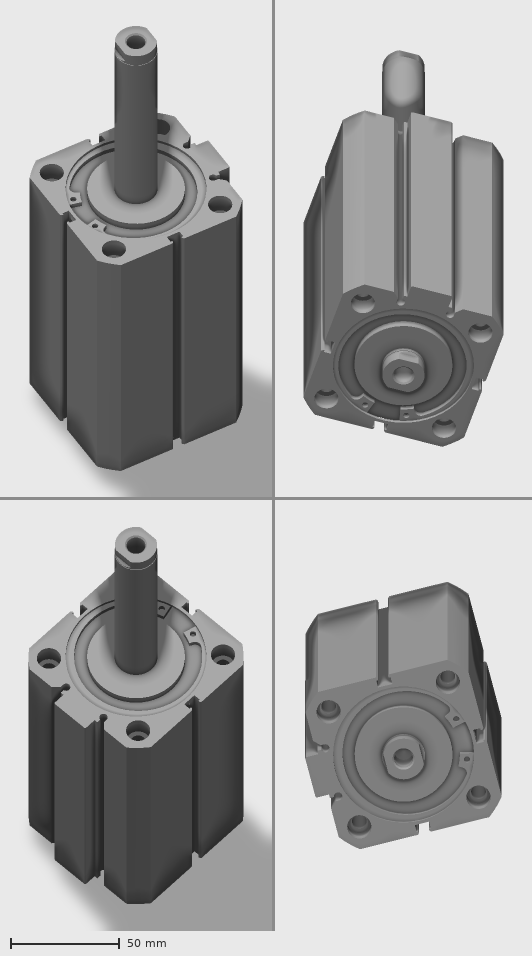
import cadquery as cq
import math

TOTAL_LENGTH = 242.0
HOUSING_LENGTH = 136.5
ROD_LOWER_REACH = 7.7

HALF_WIDTH = 38.7
CORNER_LEG = 8.0
CORNER_RADIUS = math.hypot(HALF_WIDTH, HALF_WIDTH - CORNER_LEG)
TAB_TOP = 44.3
TAB_HALF_WIDTH = 10.0
TAB_BEVEL = 0.5
RIB_HALF_WIDTH = 11.5
RIB_TOP = 38.0
RIB_BOTTOM = 35.8
RIB_RUNOUT = 1.5
RELIEF_RADIUS = 2.0
RELIEF_CENTER_Y = 34.1
RELIEF_BEVEL = 3.0

SLOT_HALF_WIDTH = 3.5
SLOT_MOUTH_HALF_WIDTH = 2.5
SLOT_LIP = 1.5
SLOT_LIP_BEVEL = 0.7
FRONT_WINDOW_HALF_WIDTH = 1.5
SIDE_WINDOW_HALF_WIDTH = 0.5

HOLE_OFFSET = 28.3
HOLE_RADIUS = 3.5
COUNTERBORE_RADIUS = 5.5
COUNTERBORE_DEPTH = 9.7

BORE_RADIUS = 32.5
RING_RADIUS = 34.0
RING_RECESS = 1.5
RING_THICKNESS = 2.5
RING_EYE_RADIUS = 29.5
RING_EYE_SHIFT = 1.5
LUG_INNER_RADIUS = 26.0
LUG_START_ANGLE = 14.0
LUG_END_ANGLE = 28.0
LUG_FILLET = 3.0
PLIER_HOLE_RADIUS = 1.5
PLIER_HOLE_X = 10.0
PLIER_HOLE_Y = -27.5
BOSS_RADIUS = 22.5
COVER_LENGTH = 19.4

ROD_RADIUS = 10.0
NECK_RADIUS = 9.7
NECK_LENGTH = 6.0
FLAT_HALF_WIDTH = 8.5
FLAT_LENGTH = 4.5
TAP_RADIUS = 4.4
TAP_DEPTH = 14.5
TAP_TIP_DEPTH = 2.5
TAP_CHAMFER = 0.7


def mirrored_to_lower_end(body):
    """The same body at the other end of the housing."""
    middle = (0, 0, HOUSING_LENGTH / 2)
    return body.mirror("XY", middle)


def tab_side_points(side):
    """Tab flank and groove on one side (+1 or -1), from the tab's corner outwards."""
    inner_x = TAB_HALF_WIDTH
    outer_x = inner_x + 2 * RELIEF_RADIUS
    outline = [
        (inner_x - TAB_BEVEL, TAB_TOP),
        (inner_x, TAB_TOP - TAB_BEVEL),
        (inner_x, RIB_TOP),
        (RIB_HALF_WIDTH, RIB_TOP),
        (RIB_HALF_WIDTH, RIB_BOTTOM),
        (inner_x, RIB_BOTTOM - RIB_RUNOUT),
        (inner_x, RELIEF_CENTER_Y),
        (outer_x, RELIEF_CENTER_Y),
        (outer_x, HALF_WIDTH - RELIEF_BEVEL),
        (outer_x + RELIEF_BEVEL, HALF_WIDTH),
        (outer_x + RELIEF_BEVEL, TAB_TOP),
    ]
    return [(side * x, y) for x, y in outline]


def sensor_slot(angle, window_half_width):
    """Lipped slot cutter on the -Y side, turned about Z by the angle.

    The floor cuts the ring grooves' circle along a chord twice the window's half width.
    """
    floor = -math.sqrt(RING_RADIUS**2 - window_half_width**2)
    lip = -HALF_WIDTH + SLOT_LIP
    slot = (
        cq.Workplane("XY")
        .moveTo(-SLOT_MOUTH_HALF_WIDTH - SLOT_LIP_BEVEL, -HALF_WIDTH)
        .lineTo(-SLOT_MOUTH_HALF_WIDTH, -HALF_WIDTH + SLOT_LIP_BEVEL)
        .lineTo(-SLOT_MOUTH_HALF_WIDTH, lip)
        .lineTo(-SLOT_HALF_WIDTH, lip)
        .lineTo(-SLOT_HALF_WIDTH, floor)
        .lineTo(SLOT_HALF_WIDTH, floor)
        .lineTo(SLOT_HALF_WIDTH, lip)
        .lineTo(SLOT_MOUTH_HALF_WIDTH, lip)
        .lineTo(SLOT_MOUTH_HALF_WIDTH, -HALF_WIDTH + SLOT_LIP_BEVEL)
        .lineTo(SLOT_MOUTH_HALF_WIDTH + SLOT_LIP_BEVEL, -HALF_WIDTH)
        .close()
        .extrude(HOUSING_LENGTH)
    )
    return slot.rotate((0, 0, 0), (0, 0, 1), angle)


def make_housing():
    """Extruded body with tab, slots, mounting holes, bore and ring grooves."""
    width = 2 * HALF_WIDTH
    body = cq.Workplane("XY").rect(width, width).extrude(HOUSING_LENGTH)
    body = body.intersect(cq.Workplane("XY").circle(CORNER_RADIUS).extrude(HOUSING_LENGTH))

    tab_center_y = TAB_TOP / 2
    tab_blank = cq.Workplane("XY").center(0, tab_center_y).rect(2 * RIB_HALF_WIDTH, TAB_TOP)
    body = body.union(tab_blank.extrude(HOUSING_LENGTH))

    for side in (1, -1):
        groove = cq.Workplane("XY").polyline(tab_side_points(side)).close().extrude(HOUSING_LENGTH)
        relief = (
            cq.Workplane("XY")
            .center(side * (TAB_HALF_WIDTH + RELIEF_RADIUS), RELIEF_CENTER_Y)
            .circle(RELIEF_RADIUS)
            .extrude(HOUSING_LENGTH)
        )
        body = body.cut(groove).cut(relief)

    body = body.cut(sensor_slot(0, FRONT_WINDOW_HALF_WIDTH))
    for angle in (90, -90):
        body = body.cut(sensor_slot(angle, SIDE_WINDOW_HALF_WIDTH))

    hole_spacing = 2 * HOLE_OFFSET
    holes = cq.Workplane("XY").rect(hole_spacing, hole_spacing, forConstruction=True).vertices()
    body = body.cut(holes.circle(HOLE_RADIUS).extrude(HOUSING_LENGTH))
    counterbores = (
        cq.Workplane("XY", origin=(0, 0, HOUSING_LENGTH))
        .rect(hole_spacing, hole_spacing, forConstruction=True)
        .vertices()
        .circle(COUNTERBORE_RADIUS)
        .extrude(-COUNTERBORE_DEPTH)
    )
    body = body.cut(counterbores).cut(mirrored_to_lower_end(counterbores))

    body = body.cut(cq.Workplane("XY").circle(BORE_RADIUS).extrude(HOUSING_LENGTH))
    ring_groove = (
        cq.Workplane("XY", origin=(0, 0, HOUSING_LENGTH - RING_RECESS))
        .circle(RING_RADIUS)
        .extrude(-RING_THICKNESS)
    )
    return body.cut(ring_groove).cut(mirrored_to_lower_end(ring_groove))


def polar(radius, angle):
    """Point at a radius and an angle in degrees from -Y towards +X."""
    turn = math.radians(angle)
    return (radius * math.sin(turn), -radius * math.cos(turn))


def make_snap_ring():
    """Upper snap ring: eccentric eye, gap at -Y and two lugs with plier holes."""
    plane = cq.Workplane("XY", origin=(0, 0, HOUSING_LENGTH - RING_RECESS - RING_THICKNESS))
    ring = plane.circle(RING_RADIUS).extrude(RING_THICKNESS)
    eye = plane.center(0, -RING_EYE_SHIFT).circle(RING_EYE_RADIUS).extrude(RING_THICKNESS)
    ring = ring.cut(eye)

    lug_middle_angle = (LUG_START_ANGLE + LUG_END_ANGLE) / 2
    lug_outer_radius = RING_RADIUS - (RING_RADIUS - BORE_RADIUS) / 2
    lug = (
        plane.moveTo(*polar(LUG_INNER_RADIUS, LUG_START_ANGLE))
        .threePointArc(polar(LUG_INNER_RADIUS, lug_middle_angle), polar(LUG_INNER_RADIUS, LUG_END_ANGLE))
        .lineTo(*polar(lug_outer_radius, LUG_END_ANGLE))
        .threePointArc(polar(lug_outer_radius, lug_middle_angle), polar(lug_outer_radius, LUG_START_ANGLE))
        .close()
        .extrude(RING_THICKNESS)
    )
    ring = ring.union(lug).union(lug.mirror("YZ"))

    gap_reach = 2 * RING_RADIUS
    gap = (
        plane.moveTo(0, 0)
        .lineTo(*polar(gap_reach, LUG_START_ANGLE))
        .lineTo(*polar(gap_reach, -LUG_START_ANGLE))
        .close()
        .extrude(RING_THICKNESS)
    )
    ring = ring.cut(gap)

    corner_y = polar(RING_EYE_RADIUS, LUG_END_ANGLE)[1]
    for side in (1, -1):
        corner_x = side * polar(RING_EYE_RADIUS, LUG_END_ANGLE)[0]
        corner = (corner_x, corner_y, HOUSING_LENGTH - RING_RECESS - RING_THICKNESS / 2)
        ring = ring.edges("|Z").edges(cq.selectors.NearestToPointSelector(corner)).fillet(LUG_FILLET)

    plier_holes = (
        plane.pushPoints([(-PLIER_HOLE_X, PLIER_HOLE_Y), (PLIER_HOLE_X, PLIER_HOLE_Y)])
        .circle(PLIER_HOLE_RADIUS)
        .extrude(RING_THICKNESS)
    )
    return ring.cut(plier_holes)


def make_cover():
    """Upper cover: bore-wide disc under the ring and a boss flush with the housing's end."""
    bottom = HOUSING_LENGTH - COVER_LENGTH
    boss_height = RING_RECESS + RING_THICKNESS
    disc = cq.Workplane("XY", origin=(0, 0, bottom)).circle(BORE_RADIUS).extrude(COVER_LENGTH - boss_height)
    boss = cq.Workplane("XY", origin=(0, 0, bottom)).circle(BOSS_RADIUS).extrude(COVER_LENGTH)
    rod_hole = cq.Workplane("XY", origin=(0, 0, bottom)).circle(ROD_RADIUS).extrude(COVER_LENGTH)
    return disc.union(boss).cut(rod_hole)


def rod_end_cutter():
    """Everything removed at a rod end whose face is at z = 0, the rod lying below it."""
    blank = cq.Workplane("XY").circle(2 * ROD_RADIUS).extrude(-NECK_LENGTH)
    neck = cq.Workplane("XY").circle(NECK_RADIUS).extrude(-NECK_LENGTH)
    cutter = blank.cut(neck)

    flat = (
        cq.Workplane("YZ")
        .moveTo(FLAT_HALF_WIDTH, 0)
        .lineTo(FLAT_HALF_WIDTH, -FLAT_LENGTH)
        .lineTo(ROD_RADIUS, -NECK_LENGTH)
        .lineTo(ROD_RADIUS, 0)
        .close()
        .extrude(ROD_RADIUS, both=True)
    )
    cutter = cutter.union(flat).union(flat.mirror("XZ"))

    tap = (
        cq.Workplane("XZ")
        .moveTo(0, 0)
        .lineTo(TAP_RADIUS + TAP_CHAMFER, 0)
        .lineTo(TAP_RADIUS, -TAP_CHAMFER)
        .lineTo(TAP_RADIUS, -TAP_DEPTH)
        .lineTo(0, -TAP_DEPTH - TAP_TIP_DEPTH)
        .close()
        .revolve(360, (0, 0, 0), (0, 1, 0))
    )
    return cutter.union(tap)


def make_rod():
    """Through rod with a necked, flatted and tapped end on each side."""
    bottom = -ROD_LOWER_REACH
    rod = cq.Workplane("XY", origin=(0, 0, bottom)).circle(ROD_RADIUS).extrude(TOTAL_LENGTH)
    cutter = rod_end_cutter()
    upper_cutter = cutter.translate((0, 0, bottom + TOTAL_LENGTH))
    lower_cutter = cutter.mirror("XY").translate((0, 0, bottom))
    return rod.cut(upper_cutter).cut(lower_cutter)


housing = make_housing()
rod = make_rod()
upper_cover = make_cover()
lower_cover = mirrored_to_lower_end(upper_cover)
upper_ring = make_snap_ring()
lower_ring = mirrored_to_lower_end(upper_ring)

bodies = [housing, rod, upper_cover, lower_cover, upper_ring, lower_ring]
result = cq.Compound.makeCompound([body.val() for body in bodies])